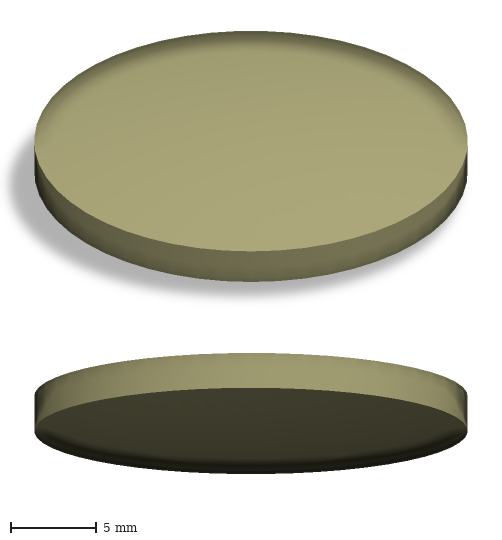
import cadquery as cq
import math

diameter = 25.4
center_thickness = 4.11
edge_thickness = 2.08

radius = diameter / 2
half_center = center_thickness / 2
half_edge = edge_thickness / 2

cap_height = half_center - half_edge
sphere_radius = (radius**2 + cap_height**2) / (2 * cap_height)

mid_x = radius / 2
mid_z = half_center - sphere_radius + math.sqrt(sphere_radius**2 - mid_x**2)

half_section = (
    cq.Workplane("XZ")
    .moveTo(0, -half_center)
    .threePointArc((mid_x, -mid_z), (radius, -half_edge))
    .lineTo(radius, half_edge)
    .threePointArc((mid_x, mid_z), (0, half_center))
    .close()
)

result = half_section.revolve(360, (0, 0, 0), (0, 1, 0))